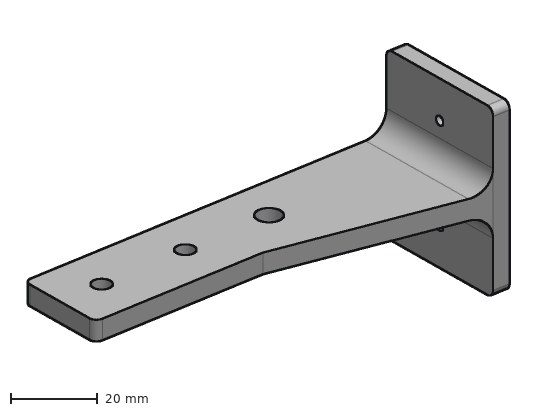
import cadquery as cq

plate_width = 38.1
plate_height = 50.0
plate_thickness = 5.1
corner_radius = 2.1
screw_hole_diameter = 2.5
screw_hole_spacing = 27.7

total_length = 115.0
arm_width = 25.4
arm_thickness = 5.8
root_fillet_radius = 6.3
plate_front = total_length - plate_thickness

hole_pitch = arm_width
first_hole_y = hole_pitch / 2
arm_hole_diameters = [5.2, 5.2, 6.9]
taper_start = 2 * hole_pitch


def make_plate():
    """Upright plate with rounded corners."""
    return (
        cq.Workplane("XZ", origin=(plate_width / 2, total_length, 0))
        .rect(plate_width, plate_height)
        .extrude(plate_thickness)
        .edges("|Y")
        .fillet(corner_radius)
    )


def make_arm():
    """Filleted arm, trimmed to a plan outline that widens toward the plate."""
    half_thickness = arm_thickness / 2
    root_half_height = half_thickness + root_fillet_radius
    fillet_start = plate_front - root_fillet_radius
    profile = (
        cq.Workplane("YZ")
        .moveTo(0, -half_thickness)
        .lineTo(fillet_start, -half_thickness)
        .radiusArc((plate_front, -root_half_height), root_fillet_radius)
        .lineTo(plate_front, root_half_height)
        .radiusArc((fillet_start, half_thickness), root_fillet_radius)
        .lineTo(0, half_thickness)
        .close()
        .extrude(plate_width)
    )
    outline = (
        cq.Workplane("XY", origin=(0, 0, -plate_height / 2))
        .polyline([
            (0, 0),
            (arm_width, 0),
            (arm_width, taper_start),
            (plate_width, plate_front),
            (0, plate_front),
        ])
        .close()
        .extrude(plate_height)
        .edges("|Z and <Y")
        .fillet(corner_radius)
    )
    return profile.intersect(outline)


def drill_arm(body):
    """Vertical through holes along the arm's centreline."""
    for index, diameter in enumerate(arm_hole_diameters):
        hole_y = first_hole_y + index * hole_pitch
        hole = (
            cq.Workplane("XY", origin=(arm_width / 2, hole_y, -arm_thickness / 2))
            .circle(diameter / 2)
            .extrude(arm_thickness)
        )
        body = body.cut(hole)
    return body


def drill_plate(body):
    """Screw holes through the plate, above and below the arm."""
    holes = (
        cq.Workplane("XZ", origin=(plate_width / 2, total_length, 0))
        .rarray(1.2, screw_hole_spacing, 1, 2)
        .circle(screw_hole_diameter / 2)
        .extrude(plate_thickness)
    )
    return body.cut(holes)


result = drill_plate(drill_arm(make_plate().union(make_arm())))